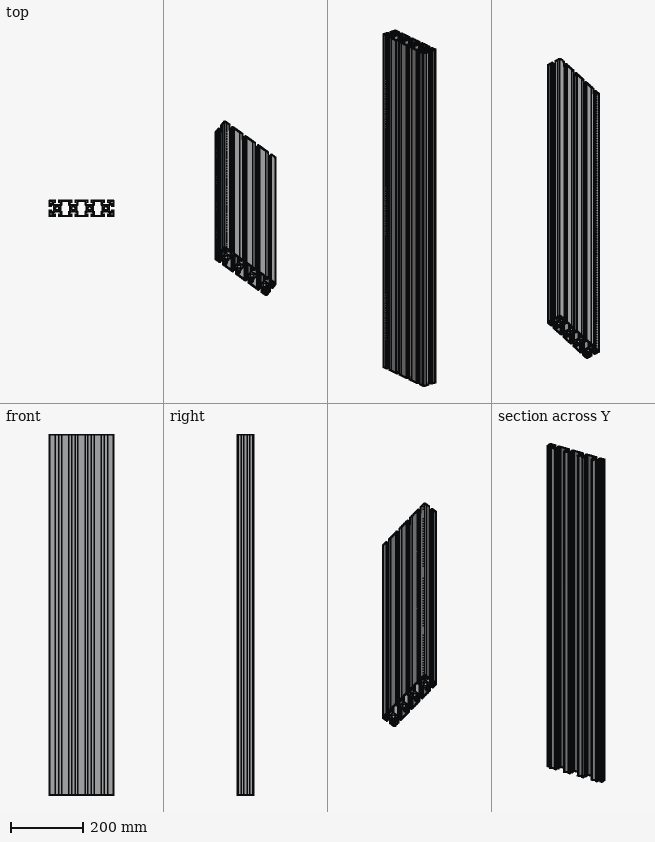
import cadquery as cq

module = 45.0
module_count = 4
length = 1000.0
width = module * module_count
half_module = module / 2
corner_radius = 3.5
core_width = 19.0
bore_diameter = 10.2

slot_opening = 10.0
slot_inner_width = 20.5
slot_taper = 3.0
slot_floor_width = slot_inner_width - 2 * slot_taper
lip_thickness = 6.0

web_thickness = 2.0
skin_thickness = 2.25
chamber_neck_width = module - slot_inner_width - 2 * web_thickness
chamber_waist_width = module - core_width
chamber_neck_level = 10.0
chamber_waist_level = chamber_neck_level - (chamber_waist_width - chamber_neck_width) / 2

pocket_size = 7.25
pocket_end_wall = 2.0
pocket_side_wall = 3.0

module_centres = [(i - (module_count - 1) / 2) * module for i in range(module_count)]
chamber_centres = [x + half_module for x in module_centres[:-1]]


def extrude_outline(points):
    """Closed polygon extruded over the full length."""
    return cq.Workplane("XY").polyline(points).close().extrude(length)


def bar():
    """Solid bar with rounded long edges."""
    block = cq.Workplane("XY").box(width, module, length, centered=(True, True, False))
    return block.edges("|Z").fillet(corner_radius)


def bores():
    """Round bores along every module axis."""
    points = [(x, 0) for x in module_centres]
    return cq.Workplane("XY").pushPoints(points).circle(bore_diameter / 2).extrude(length)


def t_slot(centre_x, angle):
    """T-slot of one module, opening toward +Y and then turned about the module axis."""
    floor = core_width / 2
    lip = half_module - lip_thickness
    right_side = [
        (slot_opening / 2, half_module),
        (slot_opening / 2, lip),
        (slot_inner_width / 2, lip),
        (slot_inner_width / 2, floor + slot_taper),
        (slot_floor_width / 2, floor),
    ]
    left_side = [(-x, y) for x, y in reversed(right_side)]
    slot = extrude_outline(right_side + left_side)
    return slot.rotate((0, 0, 0), (0, 0, 1), angle).translate((centre_x, 0, 0))


def chamber(centre_x):
    """Hollow between two cores, wider at mid-height than beside the slots."""
    top = half_module - skin_thickness
    upper_right = [
        (chamber_waist_width / 2, chamber_waist_level),
        (chamber_neck_width / 2, chamber_neck_level),
        (chamber_neck_width / 2, top),
    ]
    upper_left = [(-x, y) for x, y in reversed(upper_right)]
    upper = upper_right + upper_left
    lower = [(-x, -y) for x, y in upper]
    return extrude_outline(upper + lower).translate((centre_x, 0, 0))


def corner_pockets():
    """Square hollows inside the four corners."""
    spacing_x = width - 2 * pocket_end_wall - pocket_size
    spacing_y = module - 2 * pocket_side_wall - pocket_size
    centres = cq.Workplane("XY").rarray(spacing_x, spacing_y, 2, 2)
    return centres.rect(pocket_size, pocket_size).extrude(length)


result = bar().cut(bores()).cut(corner_pockets())

for slot_x in module_centres:
    for slot_angle in (0, 180):
        result = result.cut(t_slot(slot_x, slot_angle))

result = result.cut(t_slot(module_centres[0], 90))
result = result.cut(t_slot(module_centres[-1], -90))

for chamber_x in chamber_centres:
    result = result.cut(chamber(chamber_x))